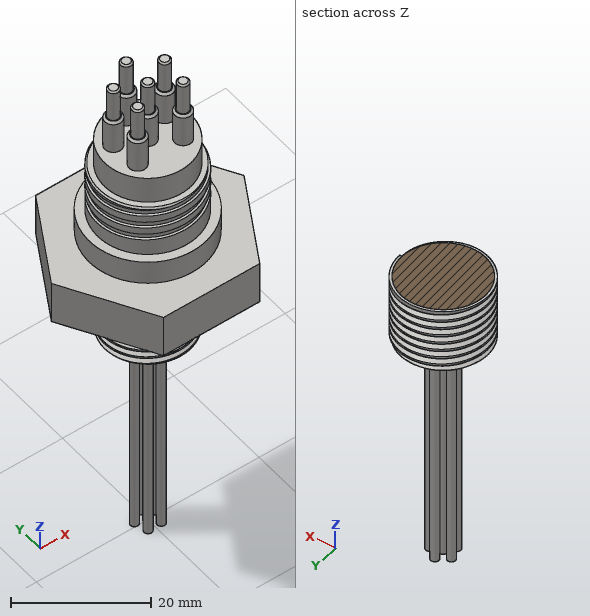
import cadquery as cq
import math

hex_height = 8.0
collar_height = 4.4
upper_thread_height = 9.6
insert_height = 4.95
pin_height = 12.0
lower_thread_height = 12.75
total_height = 91.7

hex_sides = 6
hex_across_flats = 30.0
collar_diameter = 21.0
upper_thread_diameter = 18.0
insert_diameter = 15.5
lower_thread_diameter = 15.5

upper_top_chamfer = 0.3
upper_pitch = 2.5
upper_groove_width = 1.2
upper_groove_root_width = 1.0
upper_groove_depth = 0.4
upper_plain_height = 2.5
upper_groove_start_angle = 60

neck_diameter = 14.7
neck_height = 0.9
lower_end_chamfer = 0.8
lower_pitch = 1.4
lower_groove_width = 1.0
lower_groove_root_width = 0.1
lower_groove_depth = 0.55
lower_groove_turns = 10
lower_groove_start_angle = 0
lower_groove_top = -1.1

pin_base_diameter = 3.0
pin_base_height = 6.1
pin_base_chamfer = 0.4
pin_tip_diameter = 2.0
pin_tip_chamfer = 0.3
pin_circle_radius = 5.0
pin_angles = [-36, 24, 90, 156, 216]

wire_diameter = 1.5
wire_circle_radius = 2.0
ring_wire_count = 5
first_wire_angle = 90

blank_allowance = 1.8

mouth_clearance = 0.1

overlap = 0.9

collar_top = hex_height + collar_height
upper_thread_top = collar_top + upper_thread_height
insert_top = upper_thread_top + insert_height
pin_top = insert_top + pin_height
wire_bottom = pin_top - total_height


def cylinder(diameter, bottom, top):
    """Upright cylinder on the Z axis."""
    return cq.Workplane("XY").workplane(offset=bottom).circle(diameter / 2).extrude(top - bottom)


def thread_groove(diameter, pitch, width, root_width, depth, bottom, height, start_angle):
    """Right-handed tapered groove cutter, its mouth a little outside the given diameter."""
    radius = diameter / 2
    mouth_radius = radius + mouth_clearance
    half_root = root_width / 2
    flank_slope = (width - root_width) / 2 / depth
    half_mouth = half_root + flank_slope * (depth + mouth_clearance)
    path = cq.Wire.makeHelix(pitch, height, radius)
    profile = cq.Workplane("XZ").polyline(
        [
            (radius - depth, -half_root),
            (radius - depth, half_root),
            (mouth_radius, half_mouth),
            (mouth_radius, -half_mouth),
        ]
    ).close()
    cutter = profile.sweep(cq.Workplane(path), isFrenet=True)
    return cutter.rotate((0, 0, 0), (0, 0, 1), start_angle).translate((0, 0, bottom))


def points_on_circle(radius, angles):
    """Points in the XY plane at the given angles in degrees."""
    return [(radius * math.cos(math.radians(a)), radius * math.sin(math.radians(a))) for a in angles]


def upper_thread():
    """Threaded barrel; its groove runs out through the chamfered top."""
    start = collar_top + upper_plain_height
    end = upper_thread_top + upper_groove_width
    blank = cylinder(upper_thread_diameter, collar_top - overlap, end + blank_allowance)
    groove = thread_groove(
        upper_thread_diameter,
        upper_pitch,
        upper_groove_width,
        upper_groove_root_width,
        upper_groove_depth,
        start,
        end - start,
        upper_groove_start_angle,
    )
    envelope = cylinder(upper_thread_diameter, collar_top - overlap, upper_thread_top)
    envelope = envelope.faces(">Z").chamfer(upper_top_chamfer)
    return blank.cut(groove).intersect(envelope)


def lower_thread():
    """Threaded stem; its groove runs from the neck out through the chamfered end."""
    groove_height = lower_groove_turns * lower_pitch
    blank = cylinder(lower_thread_diameter, -lower_thread_height - blank_allowance, overlap)
    groove = thread_groove(
        lower_thread_diameter,
        lower_pitch,
        lower_groove_width,
        lower_groove_root_width,
        lower_groove_depth,
        lower_groove_top - groove_height,
        groove_height,
        lower_groove_start_angle,
    )
    envelope = cylinder(lower_thread_diameter, -lower_thread_height, -neck_height)
    envelope = envelope.faces("<Z").chamfer(lower_end_chamfer)
    envelope = envelope.union(cylinder(neck_diameter, -neck_height - overlap, overlap))
    return blank.cut(groove).intersect(envelope)


def contact_pin():
    """Stepped pin on the Z axis, rooted in the insert."""
    base_top = insert_top + pin_base_height
    base = cylinder(pin_base_diameter, insert_top - overlap, base_top)
    base = base.faces(">Z").chamfer(pin_base_chamfer)
    tip = cylinder(pin_tip_diameter, base_top - overlap, pin_top)
    tip = tip.faces(">Z").chamfer(pin_tip_chamfer)
    return base.union(tip)


hex_across_corners = hex_across_flats / math.cos(math.pi / hex_sides)
result = cq.Workplane("XY").polygon(hex_sides, hex_across_corners).extrude(hex_height)
result = result.union(cylinder(collar_diameter, hex_height - overlap, collar_top))
result = result.union(upper_thread())
result = result.union(cylinder(insert_diameter, upper_thread_top - overlap, insert_top))
result = result.union(lower_thread())

pin = contact_pin()
for x, y in [(0, 0)] + points_on_circle(pin_circle_radius, pin_angles):
    result = result.union(pin.translate((x, y, 0)))

ring_wire_angles = [first_wire_angle + i * 360 / ring_wire_count for i in range(ring_wire_count)]
wire = cylinder(wire_diameter, wire_bottom, overlap - lower_thread_height)
for x, y in [(0, 0)] + points_on_circle(wire_circle_radius, ring_wire_angles):
    result = result.union(wire.translate((x, y, 0)))